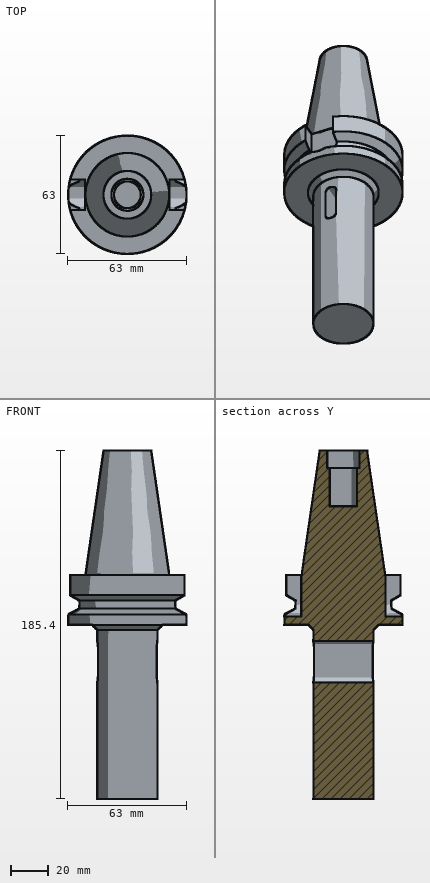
import cadquery as cq

total_length = 185.4
flange_diameter = 63.0

taper_length = 65.5
taper_large_diameter = 44.5
taper_small_diameter = 25.4

flange_top = 119.2
upper_rim_height = 10.8
lower_rim_height = 5.5
groove_diameter = 53.4
groove_floor_height = 4.3
groove_side_height = 3.0

shank_diameter = 32.0
collar_diameter = 37.6
collar_height = 2.8

mouth_diameter = 17.0
mouth_depth = 9.3
bore_diameter = 14.3
bore_depth = 29.7

keyway_width = 16.1
keyway_bottom = 97.1
keyway_floor_offset = 22.5

slot_width = 6.3
slot_bottom = 62.1
slot_top = 84.0


def make_body():
    """Revolve the half profile about the Z axis."""
    gauge_z = total_length - taper_length
    upper_rim_bottom = flange_top - upper_rim_height
    groove_top = upper_rim_bottom - groove_side_height
    groove_bottom = groove_top - groove_floor_height
    lower_rim_top = groove_bottom - groove_side_height
    flange_bottom = lower_rim_top - lower_rim_height
    profile = [
        (0, 0),
        (shank_diameter / 2, 0),
        (shank_diameter / 2, flange_bottom - collar_height),
        (collar_diameter / 2, flange_bottom),
        (flange_diameter / 2, flange_bottom),
        (flange_diameter / 2, lower_rim_top),
        (groove_diameter / 2, groove_bottom),
        (groove_diameter / 2, groove_top),
        (flange_diameter / 2, upper_rim_bottom),
        (flange_diameter / 2, flange_top),
        (taper_large_diameter / 2, flange_top),
        (taper_large_diameter / 2, gauge_z),
        (taper_small_diameter / 2, total_length),
        (0, total_length),
    ]
    return cq.Workplane("XZ").polyline(profile).close().revolve(360, (0, 0), (0, 1))


def make_top_hole(diameter, depth):
    """Cylinder sunk from the small end of the taper."""
    return cq.Workplane("XY").workplane(offset=total_length - depth).circle(diameter / 2).extrude(depth)


def make_keyway():
    """Cutter for the +X keyway, open at the top and rounded below."""
    radius = keyway_width / 2
    return (
        cq.Workplane("YZ", origin=(keyway_floor_offset, 0, 0))
        .moveTo(-radius, flange_top)
        .lineTo(-radius, keyway_bottom + radius)
        .threePointArc((0, keyway_bottom), (radius, keyway_bottom + radius))
        .lineTo(radius, flange_top)
        .close()
        .extrude(flange_diameter / 2)
    )


def make_cross_slot():
    """Round-ended cutter running through the shank along X."""
    return (
        cq.Workplane("YZ")
        .center(0, (slot_bottom + slot_top) / 2)
        .slot2D(slot_top - slot_bottom, slot_width, 90)
        .extrude(shank_diameter, both=True)
    )


result = make_body()
result = result.cut(make_top_hole(mouth_diameter, mouth_depth))
result = result.cut(make_top_hole(bore_diameter, bore_depth))
for angle in (0, 180):
    result = result.cut(make_keyway().rotate((0, 0, 0), (0, 0, 1), angle))
result = result.cut(make_cross_slot())